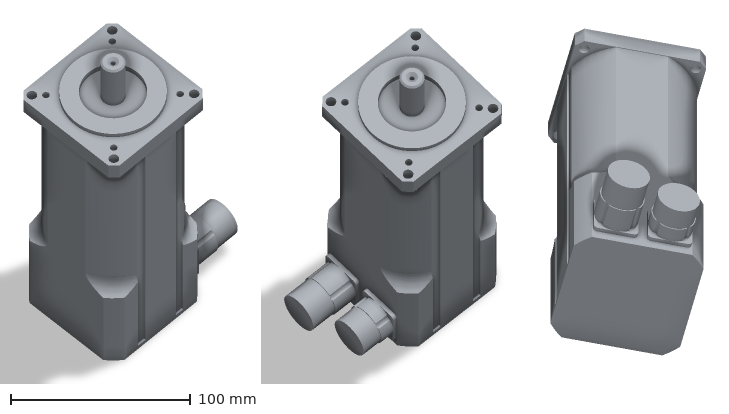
import cadquery as cq
import math

body_top = 170.0
flange_top = 181.0
pilot_top = 184.0
shaft_top = 211.0

body_width = 74.0
rear_corner_radius = 46.8
front_corner_radius = 39.9
cutter_radius = 20.0 / 2
relief_start = 66.0

slot_center_y = 15.0
slot_width = 6.0
slot_depth = 1.3
slot_bottom = 3.0

flange_width = 75.0
flange_chamfer = 4.5
pilot_diameter = 60.0
recess_diameter = 38.0
recess_depth = 4.0
mount_hole_diameter = 6.0
mount_hole_offset = 31.9
screw_hole_diameter = 4.2
screw_hole_offset = 26.4

shaft_diameter = 14.0
shaft_chamfer = 1.0
center_cone_diameter = 6.8
center_hole_diameter = 2.7
center_cone_depth = 1.7
center_hole_depth = 5.3

connector_offset_x = 15.5
connector_height = 18.4
collar_diameter = 25.3
plug_diameter = 24.0
plate_thickness = 2.5
corner_radius = 2.5
short_collar_end = 11.2
short_plug_end = 24.0
long_collar_end = 17.7
long_plug_end = 34.0


def box_on_z(width_x, width_y, bottom, top):
    """Box centred on the Z axis between two heights."""
    return cq.Workplane("XY").workplane(offset=bottom).rect(width_x, width_y).extrude(top - bottom)


def cylinder_on_z(diameter, bottom, top):
    """Cylinder on the Z axis between two heights."""
    return cq.Workplane("XY").workplane(offset=bottom).circle(diameter / 2).extrude(top - bottom)


def square_corners(offset):
    """The four corner points of a square centred on the axis."""
    return [(x, y) for x in (-offset, offset) for y in (-offset, offset)]


def make_body():
    """Square bar whose corners are turned to two radii joined by a concave arc."""
    cutter_center = front_corner_radius + cutter_radius
    runout_drop = math.sqrt(cutter_radius**2 - (cutter_center - rear_corner_radius) ** 2)
    arc_angle = math.atan2(runout_drop, cutter_center - rear_corner_radius) / 2
    arc_middle = (
        cutter_center - cutter_radius * math.cos(arc_angle),
        relief_start - cutter_radius * math.sin(arc_angle),
    )
    turned_envelope = (
        cq.Workplane("XZ")
        .moveTo(0, 0)
        .lineTo(rear_corner_radius, 0)
        .lineTo(rear_corner_radius, relief_start - runout_drop)
        .threePointArc(arc_middle, (front_corner_radius, relief_start))
        .lineTo(front_corner_radius, body_top)
        .lineTo(0, body_top)
        .close()
        .revolve(360, (0, 0, 0), (0, 1, 0))
    )
    body = box_on_z(body_width, body_width, 0, body_top).intersect(turned_envelope)

    slot = box_on_z(2 * slot_depth, slot_width, slot_bottom, body_top)
    for x in (-body_width / 2, body_width / 2):
        for y in (-slot_center_y, slot_center_y):
            body = body.cut(slot.translate((x, y, 0)))
    return body


def make_flange():
    """Square plate with clipped corners and a round pilot, recessed around the shaft."""
    flange = box_on_z(flange_width, flange_width, body_top, flange_top)
    flange = flange.edges("|Z").chamfer(flange_chamfer)
    flange = flange.union(cylinder_on_z(pilot_diameter, flange_top, pilot_top))
    return flange.cut(cylinder_on_z(recess_diameter, pilot_top - recess_depth, pilot_top))


def make_flange_holes(diameter, offset):
    """Cutters for four holes through the flange thickness."""
    return (
        cq.Workplane("XY")
        .workplane(offset=body_top)
        .pushPoints(square_corners(offset))
        .circle(diameter / 2)
        .extrude(flange_top - body_top)
    )


def make_shaft():
    """Output shaft with a bevelled end and a centre-drilled hole, revolved about Z."""
    radius = shaft_diameter / 2
    hole_radius = center_hole_diameter / 2
    return (
        cq.Workplane("XZ")
        .moveTo(0, body_top)
        .lineTo(radius, body_top)
        .lineTo(radius, shaft_top - shaft_chamfer)
        .lineTo(radius - shaft_chamfer, shaft_top)
        .lineTo(center_cone_diameter / 2, shaft_top)
        .lineTo(hole_radius, shaft_top - center_cone_depth)
        .lineTo(hole_radius, shaft_top - center_hole_depth)
        .lineTo(0, shaft_top - center_hole_depth)
        .close()
        .revolve(360, (0, 0, 0), (0, 1, 0))
    )


def make_motor():
    """Body, flange and shaft as one solid."""
    flange = make_flange()
    flange = flange.cut(make_flange_holes(mount_hole_diameter, mount_hole_offset))
    flange = flange.cut(make_flange_holes(screw_hole_diameter, screw_hole_offset))
    return make_body().union(flange).union(make_shaft())


def make_connector(center_x, collar_end, plug_end):
    """Connector pointing along +Y: rounded square plate, grooved collar and round plug."""
    face = cq.Workplane("XZ", origin=(center_x, body_width / 2, connector_height))
    plate = face.rect(collar_diameter, collar_diameter).extrude(-plate_thickness)
    plate = plate.edges("|Y").fillet(corner_radius)

    collar_face = face.workplane(offset=-plate_thickness)
    collar_length = collar_end - plate_thickness
    collar = collar_face.circle(collar_diameter / 2).extrude(-collar_length)
    groove_offset = collar_diameter / 2 - corner_radius
    grooves = (
        collar_face.pushPoints(square_corners(groove_offset))
        .circle(corner_radius)
        .extrude(-collar_length)
    )

    plug = face.workplane(offset=-collar_end).circle(plug_diameter / 2).extrude(collar_end - plug_end)
    return plate.union(collar.cut(grooves)).union(plug)


motor = make_motor()
short_connector = make_connector(-connector_offset_x, short_collar_end, short_plug_end)
long_connector = make_connector(connector_offset_x, long_collar_end, long_plug_end)

result = cq.Compound.makeCompound([motor.val(), short_connector.val(), long_connector.val()])